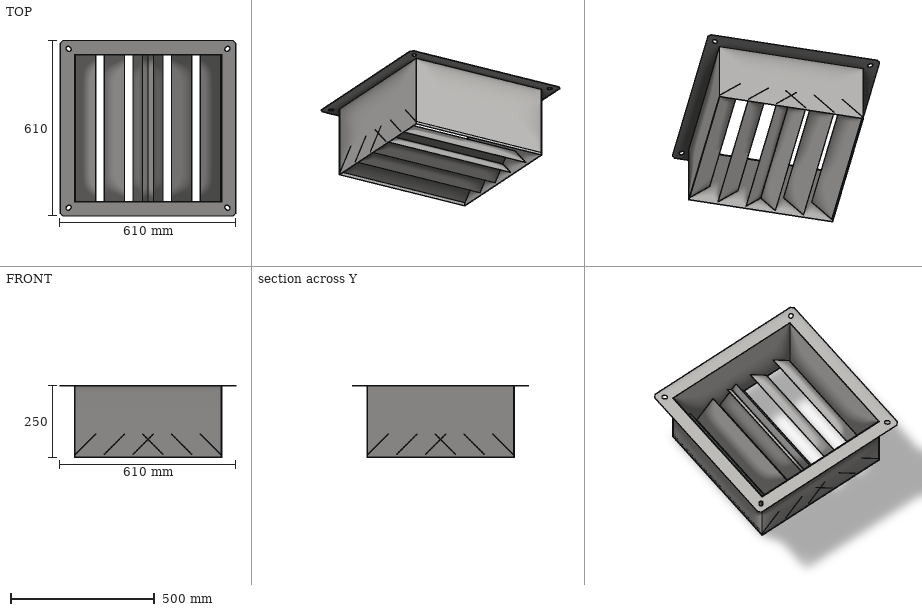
import cadquery as cq
import math

flange_width = 610.0
height = 250.0
sheet = 2.0
opening = 508.0
corner_chamfer = 10.0

slot_offset = 276.0
slot_length = 19.0
slot_width = 14.0

blades_per_side = 3
blade_pitch = 100.0
blade_length = 100.0
blade_thickness = 1.0
blade_angle = 45.0
blade_center_x = 216.5
blade_center_z = 46.0

duct_width = opening + 2 * sheet


def make_duct():
    """Square tube with a thin flange around its upper end."""
    tube = cq.Workplane("XY").rect(duct_width, duct_width).extrude(height)
    flange = (
        cq.Workplane("XY", origin=(0, 0, height - sheet))
        .rect(flange_width, flange_width)
        .extrude(sheet)
        .edges("|Z")
        .chamfer(corner_chamfer)
    )
    passage = cq.Workplane("XY").rect(opening, opening).extrude(height)
    return tube.union(flange).cut(passage)


def make_corner_slot(side_x, side_y):
    """Cutter for the slot in one flange corner."""
    direction = math.degrees(math.atan2(side_y, side_x))
    return (
        cq.Workplane("XY", origin=(side_x * slot_offset, side_y * slot_offset, height - sheet))
        .slot2D(slot_length, slot_width, direction)
        .extrude(sheet)
    )


def make_blade(side, index):
    """Inclined blade spanning the front and back walls, low edge towards its own side wall."""
    center_x = side * (blade_center_x - index * blade_pitch)
    return (
        cq.Workplane("XY")
        .box(blade_length, opening + sheet, blade_thickness)
        .rotate((0, 0, 0), (0, 1, 0), side * blade_angle)
        .translate((center_x, 0, blade_center_z))
    )


result = make_duct()
for side_x in (-1, 1):
    for side_y in (-1, 1):
        result = result.cut(make_corner_slot(side_x, side_y))
    for index in range(blades_per_side):
        result = result.union(make_blade(side_x, index))